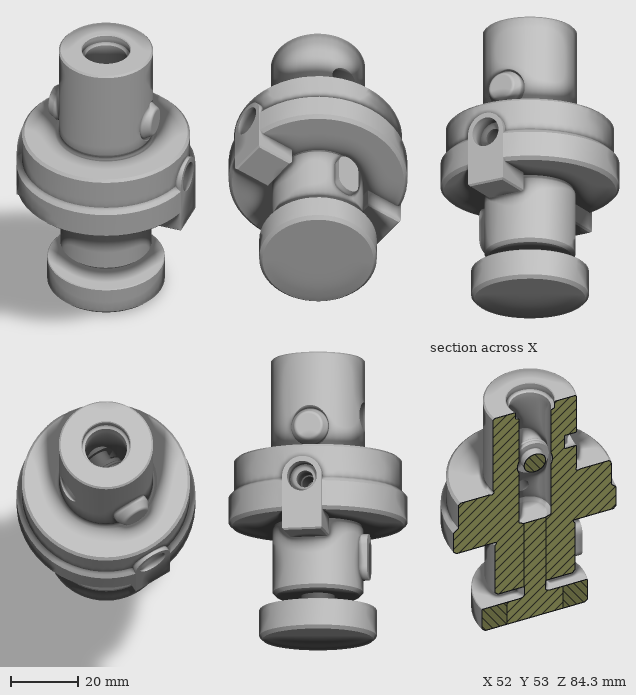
import cadquery as cq
import math

RING_TOP = 9.0
SPIGOT_BOTTOM = 13.15
FLANGE_BOTTOM = 34.2
STEM_TOP = 38.8
FLANGE_STEP = 44.3
FLANGE_TOP = 54.2
PIN_Z = 61.7
SIDE_HOLE_Z = 66.65
TOP = 84.3

SHANK_RADIUS = 14.0
SHANK_CHAMFER = 0.5
FLANGE_DIAMETER = 53.0
FLANGE_RADIUS = FLANGE_DIAMETER / 2
FLANGE_UPPER_RADIUS = 24.95
FLANGE_TOP_CHAMFER = 0.8
FLANGE_BOTTOM_CHAMFER = 1.0
SPIGOT_RADIUS = 13.5
SPIGOT_CHAMFER = 1.0

UNDERCUT_HEIGHT = 1.3
UNDERCUT_DEPTH = 0.25
UNDERCUT_FILLET = 0.7
UNDERCUT_FACE_DEPTH = 0.25
UNDERCUT_FACE_RADIUS = 15.2

RELIEF_DEPTH = 0.5
RELIEF_STRAIGHT = 0.4
RELIEF_TAPER = 0.8

MOUTH_RADIUS = 7.2
MOUTH_DEPTH = 2.5
MOUTH_CHAMFER = 0.25
BORE_RADIUS = 6.2
BORE_CONE_SLOPE = math.tan(math.radians(30))

SIDE_HOLE_RADIUS = 4.4
SIDE_HOLE_DEPTH = 4.5

PIN_LEFT = -16.9
PIN_RIGHT = 15.8
PIN_RADIUS = 5.6
PIN_TIP_RADIUS = 4.1
PIN_TIP_ANGLE = 30
PIN_TIP_FILLET = 1.0
PIN_NECK_LEFT = 1.2
PIN_NECK_RIGHT = 5.05
PIN_NECK_RADIUS = 3.5
PIN_NECK_FLARE_LENGTH = 0.5
PIN_NECK_FLARE = 0.13
PIN_HOLE_CONE_WIDTH = 0.85
PIN_HOLE_CONE_DEPTH = 1.4

ORING_X = -0.38
ORING_OUTER_RADIUS = 5.9
ORING_WIRE_RADIUS = 0.5

DRIVER_INNER = SHANK_RADIUS
DRIVER_SPAN = 52.0
DRIVER_OUTER = DRIVER_SPAN / 2
DRIVER_WIDTH = 12.0
DRIVER_BOTTOM = 28.2
DRIVER_CHAMFER = 0.5
SCREW_HEAD_RADIUS = 4.5
SCREW_HEAD_DEPTH = 5.0
SCREW_HOLE_RADIUS = 2.5
SCREW_THREAD_RADIUS = 2.1

FEATHER_WIDTH = 7.0
FEATHER_LENGTH = 14.0
FEATHER_Z = 24.3
FEATHER_OUTER = 15.4
FEATHER_HEIGHT = FEATHER_WIDTH

STEM_RADIUS = 5.0
STEM_FILLET = 1.0
HEAD_RADIUS = 9.8
RING_RADIUS = 17.45
RING_TOP_CHAMFER = 0.25
RING_BOTTOM_CHAMFER = 1.0

SIDES = (-1, 1)


def x_cylinder(radius, x_start, x_end, z):
    """Cylinder whose axis lies along X at height z."""
    return cq.Workplane("YZ", origin=(x_start, 0, z)).circle(radius).extrude(x_end - x_start)


def turned_blank():
    """Solid of revolution of shank, flange and spigot, before any hole is cut."""
    undercut_radius = SHANK_RADIUS - UNDERCUT_DEPTH
    undercut_floor = FLANGE_TOP - UNDERCUT_FACE_DEPTH
    fillet_bulge = UNDERCUT_FILLET * (1 - math.sqrt(0.5))
    relief_radius = SPIGOT_RADIUS - RELIEF_DEPTH
    relief_bottom = FLANGE_BOTTOM - RELIEF_STRAIGHT
    step_width = FLANGE_RADIUS - FLANGE_UPPER_RADIUS
    profile = (
        cq.Workplane("XZ")
        .moveTo(0, SPIGOT_BOTTOM)
        .lineTo(SPIGOT_RADIUS - SPIGOT_CHAMFER, SPIGOT_BOTTOM)
        .lineTo(SPIGOT_RADIUS, SPIGOT_BOTTOM + SPIGOT_CHAMFER)
        .lineTo(SPIGOT_RADIUS, relief_bottom - RELIEF_TAPER)
        .lineTo(relief_radius, relief_bottom)
        .lineTo(relief_radius, FLANGE_BOTTOM)
        .lineTo(FLANGE_RADIUS - FLANGE_BOTTOM_CHAMFER, FLANGE_BOTTOM)
        .lineTo(FLANGE_RADIUS, FLANGE_BOTTOM + FLANGE_BOTTOM_CHAMFER)
        .lineTo(FLANGE_RADIUS, FLANGE_STEP - step_width)
        .lineTo(FLANGE_UPPER_RADIUS, FLANGE_STEP)
        .lineTo(FLANGE_UPPER_RADIUS, FLANGE_TOP - FLANGE_TOP_CHAMFER)
        .lineTo(FLANGE_UPPER_RADIUS - FLANGE_TOP_CHAMFER, FLANGE_TOP)
        .lineTo(UNDERCUT_FACE_RADIUS, FLANGE_TOP)
        .lineTo(undercut_radius + UNDERCUT_FILLET, undercut_floor)
        .threePointArc(
            (undercut_radius + fillet_bulge, undercut_floor + fillet_bulge),
            (undercut_radius, undercut_floor + UNDERCUT_FILLET),
        )
        .lineTo(SHANK_RADIUS, FLANGE_TOP + UNDERCUT_HEIGHT)
        .lineTo(SHANK_RADIUS, TOP - SHANK_CHAMFER)
        .lineTo(SHANK_RADIUS - SHANK_CHAMFER, TOP)
        .lineTo(0, TOP)
        .close()
    )
    return profile.revolve(360, (0, 0, 0), (0, 1, 0))


def axial_bore():
    """Stepped bore along Z: wide mouth, long bore, and the hole that takes the stem."""
    upper_cone_height = (MOUTH_RADIUS - BORE_RADIUS) * BORE_CONE_SLOPE
    lower_cone_height = (BORE_RADIUS - STEM_RADIUS) * BORE_CONE_SLOPE
    profile = (
        cq.Workplane("XZ")
        .moveTo(0, SPIGOT_BOTTOM)
        .lineTo(STEM_RADIUS, SPIGOT_BOTTOM)
        .lineTo(STEM_RADIUS, STEM_TOP)
        .lineTo(BORE_RADIUS, STEM_TOP + lower_cone_height)
        .lineTo(BORE_RADIUS, TOP - MOUTH_DEPTH - upper_cone_height)
        .lineTo(MOUTH_RADIUS, TOP - MOUTH_DEPTH)
        .lineTo(MOUTH_RADIUS, TOP - MOUTH_CHAMFER)
        .lineTo(MOUTH_RADIUS + MOUTH_CHAMFER, TOP)
        .lineTo(0, TOP)
        .close()
    )
    return profile.revolve(360, (0, 0, 0), (0, 1, 0))


def pin_hole():
    """Cross hole for the pin, opened by a cone at both ends."""
    mouth = SHANK_RADIUS
    cone_start = mouth - PIN_HOLE_CONE_DEPTH
    profile = (
        cq.Workplane("XZ", origin=(0, 0, PIN_Z))
        .moveTo(-mouth, 0)
        .lineTo(-mouth, PIN_RADIUS + PIN_HOLE_CONE_WIDTH)
        .lineTo(-cone_start, PIN_RADIUS)
        .lineTo(cone_start, PIN_RADIUS)
        .lineTo(mouth, PIN_RADIUS + PIN_HOLE_CONE_WIDTH)
        .lineTo(mouth, 0)
        .close()
    )
    return profile.revolve(360, (0, 0, 0), (1, 0, 0))


def side_hole():
    """Blind round hole with a flat floor, sunk into the +Y side of the shank."""
    plane = cq.Workplane("XZ", origin=(0, SHANK_RADIUS, SIDE_HOLE_Z))
    return plane.circle(SIDE_HOLE_RADIUS).extrude(SIDE_HOLE_DEPTH)


def driver_block(side, outer):
    """Block with an arched top, reaching from beside the spigot out to the given distance."""
    half_width = DRIVER_WIDTH / 2
    outline = (
        cq.Workplane("YZ", origin=(side * DRIVER_INNER, 0, 0))
        .moveTo(-half_width, DRIVER_BOTTOM)
        .lineTo(half_width, DRIVER_BOTTOM)
        .lineTo(half_width, FLANGE_STEP)
        .threePointArc((0, FLANGE_STEP + half_width), (-half_width, FLANGE_STEP))
        .close()
    )
    return outline.extrude(side * (outer - DRIVER_INNER))


def driver_key(side):
    """Driving key with a chamfered foot and a counterbored screw hole."""
    key = driver_block(side, DRIVER_OUTER).faces("<Z").chamfer(DRIVER_CHAMFER)
    hole = x_cylinder(SCREW_HOLE_RADIUS, side * DRIVER_INNER, side * DRIVER_OUTER, FLANGE_STEP)
    head_floor = DRIVER_OUTER - SCREW_HEAD_DEPTH
    head = x_cylinder(SCREW_HEAD_RADIUS, side * head_floor, side * DRIVER_OUTER, FLANGE_STEP)
    return key.cut(hole).cut(head)


def feather_key():
    """Round-ended key standing out of the spigot towards +Y."""
    plane = cq.Workplane("XZ", origin=(0, FEATHER_OUTER, FEATHER_Z))
    return plane.slot2D(FEATHER_LENGTH, FEATHER_WIDTH, 90).extrude(FEATHER_HEIGHT)


def tool_body():
    """Turned body with its bore, cross holes, and the seats of all the keys."""
    body = turned_blank().cut(axial_bore()).cut(pin_hole()).cut(side_hole())
    for side in SIDES:
        body = body.cut(driver_block(side, FLANGE_RADIUS))
    body = body.cut(x_cylinder(SCREW_THREAD_RADIUS, -DRIVER_INNER, DRIVER_INNER, FLANGE_STEP))
    return body.cut(feather_key())


def cross_pin():
    """Pin with coned ends, a groove for the O-ring and a narrow neck."""
    cone_length = (PIN_RADIUS - PIN_TIP_RADIUS) / math.tan(math.radians(PIN_TIP_ANGLE))
    profile = (
        cq.Workplane("XZ", origin=(0, 0, PIN_Z))
        .moveTo(PIN_LEFT, 0)
        .lineTo(PIN_LEFT, PIN_TIP_RADIUS)
        .lineTo(PIN_LEFT + cone_length, PIN_RADIUS)
        .lineTo(PIN_RIGHT - cone_length, PIN_RADIUS)
        .lineTo(PIN_RIGHT, PIN_TIP_RADIUS)
        .lineTo(PIN_RIGHT, 0)
        .close()
    )
    pin = profile.revolve(360, (0, 0, 0), (1, 0, 0))
    pin = pin.edges("<X or >X").fillet(PIN_TIP_FILLET)
    shoulders = cq.selectors.RadiusNthSelector(-1)
    pin = pin.edges("%CIRCLE").edges(shoulders).fillet(PIN_TIP_FILLET)
    return pin.cut(pin_neck()).cut(oring_groove())


def pin_neck():
    """Ring of material removed around the neck, which flares slightly at both ends."""
    flare_radius = PIN_NECK_RADIUS + PIN_NECK_FLARE
    profile = (
        cq.Workplane("XZ", origin=(0, 0, PIN_Z))
        .moveTo(PIN_NECK_LEFT, PIN_RADIUS)
        .lineTo(PIN_NECK_LEFT, flare_radius)
        .lineTo(PIN_NECK_LEFT + PIN_NECK_FLARE_LENGTH, PIN_NECK_RADIUS)
        .lineTo(PIN_NECK_RIGHT - PIN_NECK_FLARE_LENGTH, PIN_NECK_RADIUS)
        .lineTo(PIN_NECK_RIGHT, flare_radius)
        .lineTo(PIN_NECK_RIGHT, PIN_RADIUS)
        .close()
    )
    return profile.revolve(360, (0, 0, 0), (1, 0, 0))


def oring_groove():
    """Flat-bottomed groove, as wide and as deep as the O-ring needs."""
    floor_radius = ORING_OUTER_RADIUS - 2 * ORING_WIRE_RADIUS
    plane = cq.Workplane("YZ", origin=(ORING_X - ORING_WIRE_RADIUS, 0, PIN_Z))
    return plane.circle(PIN_RADIUS).circle(floor_radius).extrude(2 * ORING_WIRE_RADIUS)


def oring():
    """Torus seated in the groove of the cross pin."""
    wire_centre = ORING_OUTER_RADIUS - ORING_WIRE_RADIUS
    section = cq.Workplane("XZ", origin=(0, 0, PIN_Z)).center(ORING_X, wire_centre).circle(ORING_WIRE_RADIUS)
    return section.revolve(360, (0, -wire_centre, 0), (1, -wire_centre, 0))


def clamping_screw():
    """Stem with a flat round head and a fillet between them."""
    head = cq.Workplane("XY").circle(HEAD_RADIUS).extrude(RING_TOP)
    screw = head.faces(">Z").workplane().circle(STEM_RADIUS).extrude(STEM_TOP - RING_TOP)
    corner = cq.selectors.RadiusNthSelector(0)
    return screw.faces("<Z[-2]").edges(corner).fillet(STEM_FILLET)


def clamping_ring():
    """Ring around the screw head, flush with it at top and bottom."""
    ring = cq.Workplane("XY").circle(RING_RADIUS).extrude(RING_TOP)
    ring = ring.faces(">Z").chamfer(RING_TOP_CHAMFER)
    ring = ring.faces("<Z").chamfer(RING_BOTTOM_CHAMFER)
    return ring.cut(cq.Workplane("XY").circle(HEAD_RADIUS).extrude(RING_TOP))


driver_keys = [driver_key(side).val() for side in SIDES]

result = cq.Compound.makeCompound(
    [
        tool_body().val(),
        cross_pin().val(),
        oring().val(),
        *driver_keys,
        feather_key().val(),
        clamping_screw().val(),
        clamping_ring().val(),
    ]
)